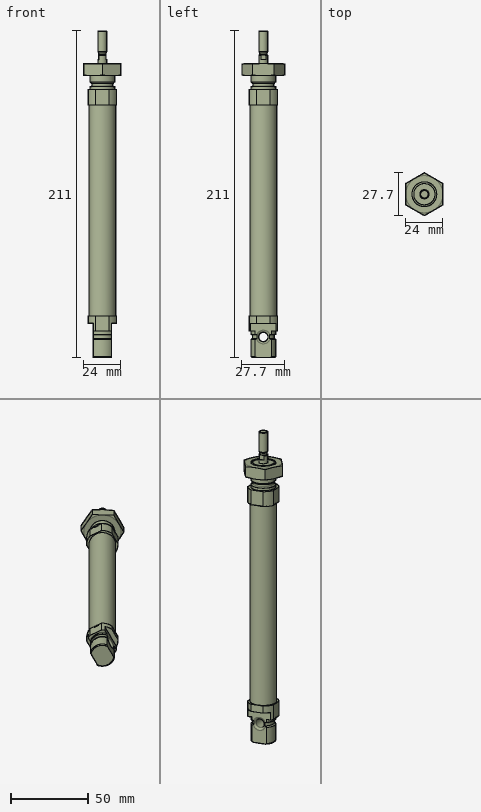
import cadquery as cq
import math

TOTAL_LENGTH = 211.0
REAR_NECK_GROOVE_BOTTOM = 11.5
REAR_NECK_GROOVE_TOP = 15.0
REAR_CAP_BOTTOM = 17.0
EYE_FLAT_TOP = 22.2
REAR_CAP_TOP = 27.0
FRONT_CAP_BOTTOM = 163.0
FRONT_CAP_TOP = 173.2
FRONT_NECK_GROOVE_BOTTOM = 175.0
FRONT_NECK_GROOVE_TOP = 178.0
NUT_BOTTOM = 182.0
NUT_TOP = 190.0
NECK_TOP = NUT_TOP
WRENCH_FLAT_BOTTOM = 192.5
ROD_GROOVE_BOTTOM = 195.5
ROD_GROOVE_TOP = 196.9

TUBE_DIAMETER = 17.3
CAP_DIAMETER = 20.3
CAP_ACROSS_FLATS = 18.4
NECK_DIAMETER = 16.0
NECK_TIP_DIAMETER = 13.7
FRONT_GROOVE_DIAMETER = 13.7
REAR_GROOVE_DIAMETER = 14.3
GROOVE_CORNER_RADIUS = 0.6
REAR_CHAMFER = 0.6
EYE_THICKNESS = 12.0
EYE_HOLE_HEIGHT = 13.3
EYE_HOLE_DIAMETER = 6.0
EYE_RIM_RADIUS = 1.5

ROD_DIAMETER = 6.0
ROD_GROOVE_DIAMETER = 4.9
ROD_TIP_DIAMETER = 4.9
ROD_SHOULDER_HEIGHT = 0.5
ROD_THREAD_RUNOUT = 0.8
ROD_ACROSS_FLATS = 4.9
ROD_BOTTOM = FRONT_CAP_TOP

NUT_ACROSS_FLATS = 24.0
NUT_FACE_DIAMETER = NUT_ACROSS_FLATS
NUT_CHAMFER_HEIGHT = 0.5

THREAD_END_SLOPE = math.tan(math.radians(30))


def cylinder(diameter, bottom, top):
    return cq.Workplane("XY").workplane(offset=bottom).circle(diameter / 2).extrude(top - bottom)


def revolve_profile(radius_height_points):
    """Turn a closed (radius, height) outline about the Z axis."""
    return cq.Workplane("XZ").polyline(radius_height_points).close().revolve(360, (0, 0), (0, 1))


def slab(width, depth, bottom, top):
    return cq.Workplane("XY").workplane(offset=bottom).rect(width, depth).extrude(top - bottom)


def end_cap(bottom, top):
    """Round cap with four flats."""
    flats = slab(CAP_ACROSS_FLATS, CAP_ACROSS_FLATS, bottom, top)
    return cylinder(CAP_DIAMETER, bottom, top).intersect(flats)


def neck_groove(shoulder_height, runout_height, root_diameter):
    """Ring that cuts a neck groove: square shoulder, rounded root corner, flat floor, 45 degree runout."""
    radius = NECK_DIAMETER / 2
    root_radius = root_diameter / 2
    direction = math.copysign(1, runout_height - shoulder_height)
    corner_inset = GROOVE_CORNER_RADIUS * (1 - math.cos(math.pi / 4))
    profile = (
        cq.Workplane("XZ")
        .moveTo(NECK_DIAMETER, shoulder_height)
        .lineTo(root_radius + GROOVE_CORNER_RADIUS, shoulder_height)
        .threePointArc(
            (root_radius + corner_inset, shoulder_height + direction * corner_inset),
            (root_radius, shoulder_height + direction * GROOVE_CORNER_RADIUS),
        )
        .lineTo(root_radius, runout_height - direction * (radius - root_radius))
        .lineTo(radius, runout_height)
        .lineTo(NECK_DIAMETER, runout_height)
        .close()
    )
    return profile.revolve(360, (0, 0), (0, 1))


def front_neck():
    """Grooved neck for the nut, with a chamfered mouth."""
    radius = NECK_DIAMETER / 2
    tip_radius = NECK_TIP_DIAMETER / 2
    chamfer_height = (radius - tip_radius) * THREAD_END_SLOPE
    neck = revolve_profile([
        (0, FRONT_CAP_TOP),
        (radius, FRONT_CAP_TOP),
        (radius, NECK_TOP - chamfer_height),
        (tip_radius, NECK_TOP),
        (0, NECK_TOP),
    ])
    return neck.cut(neck_groove(FRONT_NECK_GROOVE_BOTTOM, FRONT_NECK_GROOVE_TOP, FRONT_GROOVE_DIAMETER))


def rear_neck():
    """Grooved rear neck with a chamfered end."""
    radius = NECK_DIAMETER / 2
    neck = revolve_profile([
        (0, 0),
        (radius - REAR_CHAMFER, 0),
        (radius, REAR_CHAMFER),
        (radius, REAR_CAP_BOTTOM),
        (0, REAR_CAP_BOTTOM),
    ])
    return neck.cut(neck_groove(REAR_NECK_GROOVE_TOP, REAR_NECK_GROOVE_BOTTOM, REAR_GROOVE_DIAMETER))


def cut_eye_flats(body):
    """Thin the rear end to the eye thickness along X."""
    around = slab(2 * CAP_DIAMETER, 2 * CAP_DIAMETER, 0, EYE_FLAT_TOP)
    eye = slab(EYE_THICKNESS, 2 * CAP_DIAMETER, 0, EYE_FLAT_TOP)
    return body.cut(around.cut(eye))


def eye_hole():
    """Pivot hole along X, flaring out through a rounded rim at both faces."""
    half = EYE_THICKNESS / 2
    hole_radius = EYE_HOLE_DIAMETER / 2
    rim_radius = hole_radius + EYE_RIM_RADIUS
    straight_half = half - EYE_RIM_RADIUS
    arc_along = half - EYE_RIM_RADIUS * (1 - math.sin(math.pi / 4))
    arc_out = hole_radius + EYE_RIM_RADIUS * (1 - math.cos(math.pi / 4))
    profile = (
        cq.Workplane("XZ")
        .moveTo(-half, 0)
        .lineTo(-half, rim_radius)
        .threePointArc((-arc_along, arc_out), (-straight_half, hole_radius))
        .lineTo(straight_half, hole_radius)
        .threePointArc((arc_along, arc_out), (half, rim_radius))
        .lineTo(half, 0)
        .close()
    )
    return profile.revolve(360, (0, 0), (1, 0)).translate((0, 0, EYE_HOLE_HEIGHT))


def make_housing():
    tube = cylinder(TUBE_DIAMETER, REAR_CAP_TOP, FRONT_CAP_BOTTOM)
    body = tube.union(end_cap(REAR_CAP_BOTTOM, REAR_CAP_TOP))
    body = body.union(end_cap(FRONT_CAP_BOTTOM, FRONT_CAP_TOP))
    body = body.union(rear_neck()).union(front_neck())
    body = cut_eye_flats(body).cut(eye_hole())
    return body.cut(cylinder(ROD_DIAMETER, ROD_BOTTOM, NECK_TOP))


def make_rod():
    radius = ROD_DIAMETER / 2
    groove_radius = ROD_GROOVE_DIAMETER / 2
    tip_radius = ROD_TIP_DIAMETER / 2
    chamfer_height = (radius - tip_radius) * THREAD_END_SLOPE
    rod = revolve_profile([
        (0, ROD_BOTTOM),
        (radius, ROD_BOTTOM),
        (radius, ROD_GROOVE_BOTTOM - ROD_SHOULDER_HEIGHT),
        (groove_radius, ROD_GROOVE_BOTTOM),
        (groove_radius, ROD_GROOVE_TOP),
        (radius, ROD_GROOVE_TOP + ROD_THREAD_RUNOUT),
        (radius, TOTAL_LENGTH - chamfer_height),
        (tip_radius, TOTAL_LENGTH),
        (0, TOTAL_LENGTH),
    ])
    around = slab(2 * ROD_DIAMETER, 2 * ROD_DIAMETER, WRENCH_FLAT_BOTTOM, ROD_GROOVE_BOTTOM)
    between_flats = slab(ROD_ACROSS_FLATS, 2 * ROD_DIAMETER, WRENCH_FLAT_BOTTOM, ROD_GROOVE_BOTTOM)
    return rod.cut(around.cut(between_flats))


def make_nut():
    """Hexagon nut with corners on the Y axis, chamfered at both faces."""
    corner_radius = NUT_ACROSS_FLATS / 2 / math.cos(math.pi / 6)
    face_radius = NUT_FACE_DIAMETER / 2
    hexagon = (
        cq.Workplane("XY")
        .workplane(offset=NUT_BOTTOM)
        .polygon(6, 2 * corner_radius)
        .extrude(NUT_TOP - NUT_BOTTOM)
        .rotate((0, 0, 0), (0, 0, 1), 30)
    )
    chamfer_envelope = revolve_profile([
        (0, NUT_BOTTOM),
        (face_radius, NUT_BOTTOM),
        (corner_radius, NUT_BOTTOM + NUT_CHAMFER_HEIGHT),
        (corner_radius, NUT_TOP - NUT_CHAMFER_HEIGHT),
        (face_radius, NUT_TOP),
        (0, NUT_TOP),
    ])
    bore = cylinder(NECK_DIAMETER, NUT_BOTTOM, NUT_TOP)
    return hexagon.intersect(chamfer_envelope).cut(bore)


housing = make_housing()
rod = make_rod()
nut = make_nut()

result = cq.Compound.makeCompound([housing.val(), rod.val(), nut.val()])